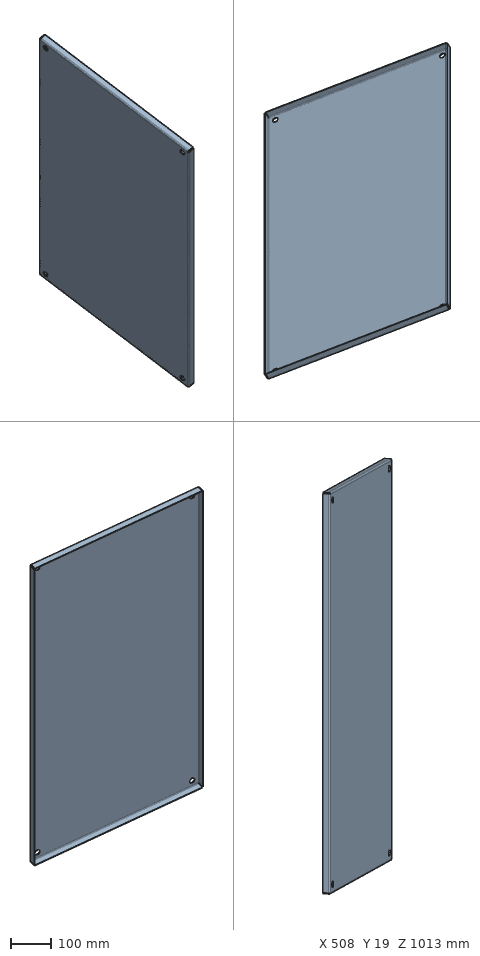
import cadquery as cq

width = 508.0
depth = 19.0
height = 1013.0
sheet = 3.0
bend_radius = 4.0
corner_notch = 3.5
hole_diameter = 15.0
hole_inset = 22.0


def folded_block(inset):
    """Panel envelope moved inward by inset on every side but the back."""
    block = cq.Workplane("XY").box(width - 2 * inset, depth - inset, height - 2 * inset)
    block = block.translate((0, inset / 2, 0))
    return block.faces("<Y").edges().fillet(bend_radius - inset)


def corner_points(spacing_x, spacing_z):
    """Workplane with one point per panel corner, on a plane behind the back."""
    return (
        cq.Workplane("XZ", origin=(0, depth, 0))
        .rect(spacing_x, spacing_z, forConstruction=True)
        .vertices()
    )


through = 2 * depth
panel = folded_block(0).cut(folded_block(sheet))

notches = corner_points(width, height).rect(2 * corner_notch, 2 * corner_notch).extrude(through)

hole_points = corner_points(width - 2 * hole_inset, height - 2 * hole_inset)
holes = hole_points.circle(hole_diameter / 2).extrude(through)

result = panel.cut(notches).cut(holes)